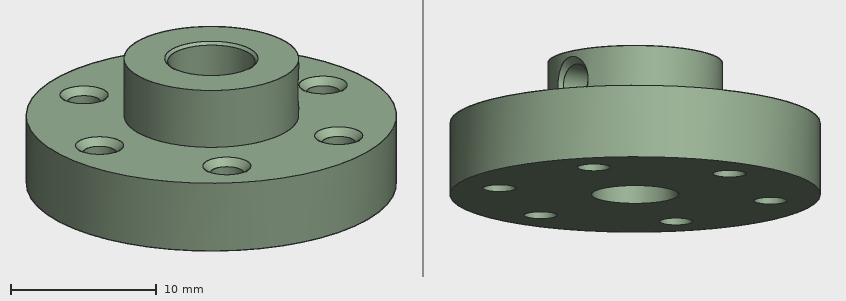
import cadquery as cq

flange_diameter = 25.4
flange_thickness = 5.0
total_height = 9.2
hub_diameter = 12.0
hub_height = total_height - flange_thickness
bore_diameter = 6.0
bore_chamfer = 0.2

hole_count = 6
bolt_circle_diameter = 19.05
hole_diameter = 2.29
countersink_diameter = 3.3
countersink_angle = 90.0
first_hole_angle = 90.0

screw_diameter = 2.5
screw_countersink_diameter = 3.4
screw_angle = 60.0
screw_height = flange_thickness + hub_height / 2


def make_body():
    """Round flange with the hub standing on its top face."""
    flange = cq.Workplane("XY").circle(flange_diameter / 2).extrude(flange_thickness)
    return flange.faces(">Z").workplane().circle(hub_diameter / 2).extrude(hub_height)


def cut_bore(body):
    """Through bore with a small chamfer at the hub end."""
    bored = body.faces(">Z").workplane().hole(bore_diameter)
    bore_rim = cq.selectors.RadiusNthSelector(0)
    return bored.faces(">Z").edges(bore_rim).chamfer(bore_chamfer)


def cut_mounting_holes(body):
    """Countersunk through holes spread evenly round the flange."""
    return (
        body.faces(">Z")
        .workplane(offset=-hub_height)
        .polarArray(bolt_circle_diameter / 2, first_hole_angle, 360, hole_count)
        .cskHole(hole_diameter, countersink_diameter, countersink_angle)
    )


def cut_set_screw(body):
    """Radial hole from the bore out through the hub wall, countersunk at its outer end."""
    axis = cq.Vector(1, 0, 0)
    screw_hole = cq.Solid.makeCylinder(
        screw_diameter / 2, hub_diameter / 2, cq.Vector(0, 0, screw_height), axis
    )
    cone_depth = (screw_countersink_diameter - screw_diameter) / 2
    cone_start = cq.Vector(hub_diameter / 2 - cone_depth, 0, screw_height)
    countersink = cq.Solid.makeCone(
        screw_diameter / 2, screw_countersink_diameter / 2, cone_depth, cone_start, axis
    )
    cutter = cq.Workplane(screw_hole).union(cq.Workplane(countersink))
    return body.cut(cutter.rotate((0, 0, 0), (0, 0, 1), screw_angle))


result = cut_set_screw(cut_mounting_holes(cut_bore(make_body())))